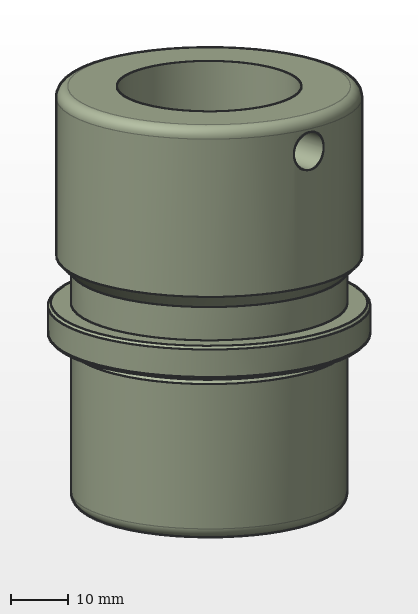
import cadquery as cq

height = 75.0
bore_diameter = 32.0
body_radius = 24.0
end_fillet = 2.0

head_radius = 26.55
head_bottom = 42.0
head_taper = head_radius - body_radius

flange_radius = 28.0
flange_bottom = 30.0
flange_top = 36.0
flange_chamfer = 0.5

groove_depth = 0.6
groove_radius = body_radius - groove_depth
groove_bottom = 28.7

side_hole_diameter = 6.8
side_hole_below_top = 6.0


def cylinder(radius, bottom, top):
    """Solid cylinder on the Z axis between two heights."""
    return cq.Workplane("XY").workplane(offset=bottom).circle(radius).extrude(top - bottom)


def make_head():
    head = cylinder(head_radius, head_bottom, height)
    head = head.faces("<Z").chamfer(head_taper)
    return head.faces(">Z").edges().fillet(end_fillet)


def make_lower_body():
    body = cylinder(body_radius, 0, groove_bottom)
    body = body.faces(">Z").chamfer(groove_depth)
    return body.faces("<Z").edges().fillet(end_fillet)


def make_flange():
    flange = cylinder(flange_radius, flange_bottom, flange_top)
    return flange.faces("<Z or >Z").chamfer(flange_chamfer)


groove_core = cylinder(groove_radius, groove_bottom, flange_bottom)
neck = cylinder(body_radius, flange_top, head_bottom)
outer = make_lower_body().union(groove_core).union(make_flange()).union(neck).union(make_head())

bore = cylinder(bore_diameter / 2, 0, height)
side_hole = (
    cq.Workplane("YZ")
    .center(0, height - side_hole_below_top)
    .circle(side_hole_diameter / 2)
    .extrude(flange_radius)
)

result = outer.cut(bore).cut(side_hole)